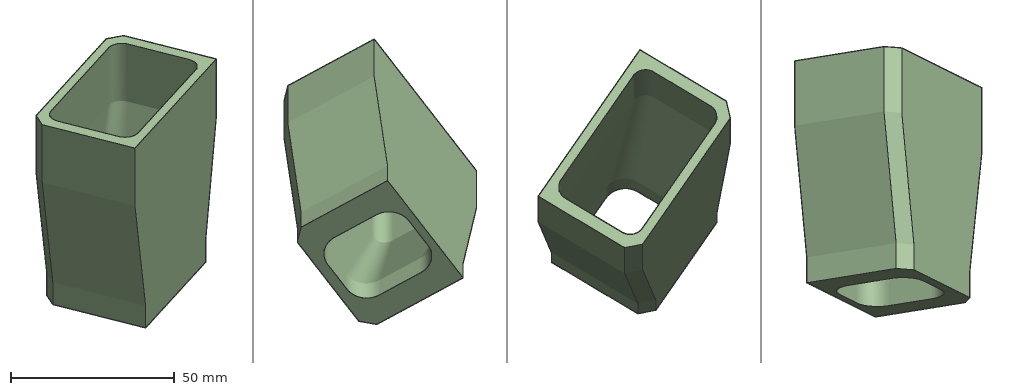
import cadquery as cq

width = 35.35
height = 68.65
top_depth = 57.4
bottom_depth = 42.4
taper_start = 7.95
taper_end = 47.9
chamfer = 4.0

side_wall = 2.95
end_wall = 3.9
top_corner_radius = 4.45
bottom_opening_depth = 25.1
bottom_corner_radius = 7.2
bottom_shift = 0.4

passage_width = width - 2 * side_wall
top_opening_depth = top_depth - 2 * end_wall


def outer_section(depth, z):
    """Closed wire of the body outline, with both -X corners cut at 45 degrees."""
    x = width / 2
    y = depth / 2
    points = [
        (x, -y),
        (x, y),
        (-x + chamfer, y),
        (-x, y - chamfer),
        (-x, -y + chamfer),
        (-x + chamfer, -y),
    ]
    return cq.Wire.makePolygon([cq.Vector(px, py, z) for px, py in points], close=True)


def passage_section(depth, radius, shift, z):
    """Closed wire of a rounded rectangular passage."""
    sketch = cq.Sketch().rect(passage_width, depth).vertices().fillet(radius)
    wire = cq.Workplane("XY").placeSketch(sketch).extrude(0.7).faces("<Z").wires().val()
    return wire.translate(cq.Vector(shift, 0, z))


def stack(bottom, lower, upper, top):
    """Join four sections into a straight foot, a taper and a straight head."""
    levels = [bottom, lower, upper, top]
    body = cq.Workplane("XY")
    for start, end in zip(levels, levels[1:]):
        body = body.union(cq.Workplane(cq.Solid.makeLoft([start, end], True)))
    return body


outer = stack(
    outer_section(bottom_depth, 0),
    outer_section(bottom_depth, taper_start),
    outer_section(top_depth, taper_end),
    outer_section(top_depth, height),
)

bottom_opening = (bottom_opening_depth, bottom_corner_radius, bottom_shift)
top_opening = (top_opening_depth, top_corner_radius, 0)
passage = stack(
    passage_section(*bottom_opening, 0),
    passage_section(*bottom_opening, taper_start),
    passage_section(*top_opening, taper_end),
    passage_section(*top_opening, height),
)

result = outer.cut(passage)